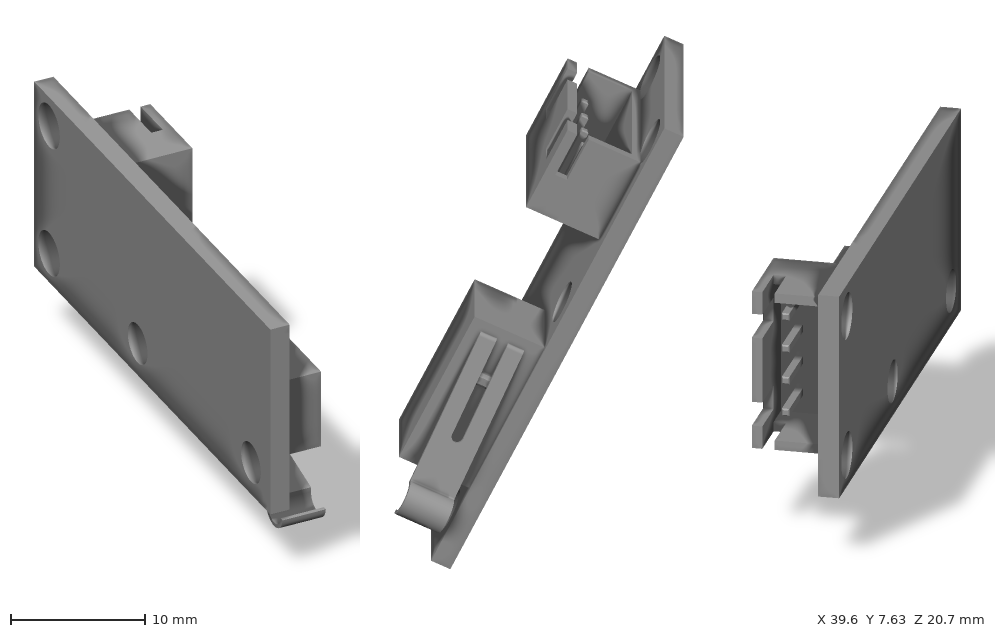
import cadquery as cq
import math

BOARD_LENGTH = 39.6
BOARD_HEIGHT = 16.1
BOARD_THICKNESS = 1.6
TOTAL_DEPTH = 7.63

END_HOLE_DIAMETER = 3.6
END_HOLE_X = 2.5
END_HOLE_INSET = 2.5
SWITCH_HOLE_DIAMETER = 3.3
SWITCH_HOLE_X = 17.35
SWITCH_HOLE_PITCH = 19.0
SWITCH_HOLE_Z = 2.75

CONNECTOR_LEFT = 4.06
CONNECTOR_LENGTH = 7.05
CONNECTOR_HEIGHT = 12.5
CONNECTOR_MID_Z = BOARD_HEIGHT / 2
CAVITY_HEIGHT = 11.0
CAVITY_DEPTH = 6.0
CAVITY_FLOOR_Y = BOARD_THICKNESS + 0.7
OUTER_WALL = 0.8
SIDE_SLOT_WIDTH = 0.95
SLOT_DEPTH = 3.7
WALL_SLOT_HEIGHT = 1.9
WALL_SLOT_SPACING = 7.03

PIN_COUNT = 4
PIN_PITCH = 2.54
PIN_SIDE = 0.58
PIN_TIP_CHAMFER = 0.1
PIN_LENGTH = 4.5
PIN_Y = 5.42

SWITCH_LEFT = 20.3
SWITCH_LENGTH = 12.85
SWITCH_BOTTOM = 0.43
SWITCH_HEIGHT = 6.5
SWITCH_BACK_Y = 7.4
PLUNGER_LEFT = 24.05
PLUNGER_LENGTH = 1.05
PLUNGER_WIDTH = 1.4
PLUNGER_BOTTOM = -0.27
PLUNGER_CHAMFER = 0.25

LEVER_THICKNESS = 0.3
LEVER_WIDTH = 3.6
LEVER_MID_Y = 4.68
LEVER_ANGLE = math.radians(15)
LEVER_ROOT_X = 21.17
LEVER_ROOT_Z = 0.16
LEVER_END_X = 33.04
ROOT_EMBED = 0.5
ROOT_BEND_RADIUS = 0.35
END_BEND_RADIUS = 0.15
HOOK_RADIUS = 1.39
HOOK_CENTER_Z = -3.22
HOOK_END_ANGLE = math.radians(-6)
LEVER_SLOT_WIDTH = 0.9
LEVER_SLOT_END_X = 29.2


def box(x_min, x_max, y_min, y_max, z_min, z_max):
    size = (x_max - x_min, y_max - y_min, z_max - z_min)
    return cq.Workplane("XY").box(*size, centered=False).translate((x_min, y_min, z_min))


def make_board():
    board = box(0, BOARD_LENGTH, 0, BOARD_THICKNESS, 0, BOARD_HEIGHT)
    end_holes = [(END_HOLE_X, END_HOLE_INSET), (END_HOLE_X, BOARD_HEIGHT - END_HOLE_INSET)]
    switch_holes = [(SWITCH_HOLE_X + i * SWITCH_HOLE_PITCH, SWITCH_HOLE_Z) for i in range(2)]
    for diameter, centers in ((END_HOLE_DIAMETER, end_holes), (SWITCH_HOLE_DIAMETER, switch_holes)):
        drill = cq.Workplane("XZ").pushPoints(centers).circle(diameter / 2).extrude(-BOARD_THICKNESS)
        board = board.cut(drill)
    return board


def make_connector():
    bottom = CONNECTOR_MID_Z - CONNECTOR_HEIGHT / 2
    top = CONNECTOR_MID_Z + CONNECTOR_HEIGHT / 2
    right = CONNECTOR_LEFT + CONNECTOR_LENGTH
    cavity_top_y = TOTAL_DEPTH - OUTER_WALL
    cavity_end = CONNECTOR_LEFT + CAVITY_DEPTH
    slot_end = CONNECTOR_LEFT + SLOT_DEPTH

    connector = box(CONNECTOR_LEFT, right, BOARD_THICKNESS, TOTAL_DEPTH, bottom, top)
    cavity_bottom = CONNECTOR_MID_Z - CAVITY_HEIGHT / 2
    cavity_top = CONNECTOR_MID_Z + CAVITY_HEIGHT / 2
    connector = connector.cut(
        box(CONNECTOR_LEFT, cavity_end, CAVITY_FLOOR_Y, cavity_top_y, cavity_bottom, cavity_top)
    )
    connector = connector.cut(
        box(CONNECTOR_LEFT, slot_end, cavity_top_y - SIDE_SLOT_WIDTH, cavity_top_y, bottom, top)
    )
    for side in (-1, 1):
        slot_bottom = CONNECTOR_MID_Z + side * WALL_SLOT_SPACING / 2 - WALL_SLOT_HEIGHT / 2
        slot_top = slot_bottom + WALL_SLOT_HEIGHT
        connector = connector.cut(
            box(CONNECTOR_LEFT, slot_end, cavity_top_y, TOTAL_DEPTH, slot_bottom, slot_top)
        )
    half_pin = PIN_SIDE / 2
    for i in range(PIN_COUNT):
        pin_z = CONNECTOR_MID_Z + (i - (PIN_COUNT - 1) / 2) * PIN_PITCH
        pin = box(
            cavity_end - PIN_LENGTH, cavity_end,
            PIN_Y - half_pin, PIN_Y + half_pin,
            pin_z - half_pin, pin_z + half_pin,
        )
        connector = connector.union(pin.faces("<X").chamfer(PIN_TIP_CHAMFER))
    return connector


def make_switch():
    body = box(
        SWITCH_LEFT, SWITCH_LEFT + SWITCH_LENGTH,
        BOARD_THICKNESS, SWITCH_BACK_Y,
        SWITCH_BOTTOM, SWITCH_BOTTOM + SWITCH_HEIGHT,
    )
    plunger = box(
        PLUNGER_LEFT, PLUNGER_LEFT + PLUNGER_LENGTH,
        LEVER_MID_Y - PLUNGER_WIDTH / 2, LEVER_MID_Y + PLUNGER_WIDTH / 2,
        PLUNGER_BOTTOM, SWITCH_BOTTOM,
    )
    plunger = plunger.faces("<Z").edges("|Y").chamfer(PLUNGER_CHAMFER)
    return body.union(plunger)


def lever_underside_z(x):
    return LEVER_ROOT_Z - (x - LEVER_ROOT_X) * math.tan(LEVER_ANGLE)


def make_lever():
    vertical_thickness = LEVER_THICKNESS / math.cos(LEVER_ANGLE)
    root_inner_x = LEVER_ROOT_X + LEVER_THICKNESS
    end_inner_x = LEVER_END_X + LEVER_THICKNESS
    root_top_z = SWITCH_BOTTOM + ROOT_EMBED
    hook_center_x = LEVER_END_X + HOOK_RADIUS
    inner_radius = HOOK_RADIUS - LEVER_THICKNESS

    def hook_point(radius, angle):
        return (hook_center_x + radius * math.cos(angle), HOOK_CENTER_Z + radius * math.sin(angle))

    hook_bottom = -math.pi / 2
    profile = (
        cq.Workplane("XZ", origin=(0, LEVER_MID_Y - LEVER_WIDTH / 2, 0))
        .moveTo(LEVER_ROOT_X, root_top_z)
        .lineTo(LEVER_ROOT_X, LEVER_ROOT_Z)
        .lineTo(LEVER_END_X, lever_underside_z(LEVER_END_X))
        .lineTo(LEVER_END_X, HOOK_CENTER_Z)
        .threePointArc(hook_point(HOOK_RADIUS, hook_bottom), hook_point(HOOK_RADIUS, HOOK_END_ANGLE))
        .lineTo(*hook_point(inner_radius, HOOK_END_ANGLE))
        .threePointArc(hook_point(inner_radius, hook_bottom), (end_inner_x, HOOK_CENTER_Z))
        .lineTo(end_inner_x, lever_underside_z(end_inner_x) + vertical_thickness)
        .lineTo(root_inner_x, lever_underside_z(root_inner_x) + vertical_thickness)
        .lineTo(root_inner_x, root_top_z)
        .close()
    )
    lever = profile.extrude(-LEVER_WIDTH)
    root_corner = (LEVER_ROOT_X, LEVER_MID_Y, LEVER_ROOT_Z)
    end_corner = (LEVER_END_X, LEVER_MID_Y, lever_underside_z(LEVER_END_X))
    for corner, radius in ((root_corner, ROOT_BEND_RADIUS), (end_corner, END_BEND_RADIUS)):
        lever = lever.edges(cq.NearestToPointSelector(corner)).fillet(radius)

    slot_plane = cq.Plane(
        origin=(LEVER_SLOT_END_X, LEVER_MID_Y, lever_underside_z(LEVER_SLOT_END_X)),
        xDir=(math.cos(LEVER_ANGLE), 0, -math.sin(LEVER_ANGLE)),
        normal=(math.sin(LEVER_ANGLE), 0, math.cos(LEVER_ANGLE)),
    )
    half_slot = LEVER_SLOT_WIDTH / 2
    slot_start = (LEVER_ROOT_X - LEVER_SLOT_END_X) / math.cos(LEVER_ANGLE) - LEVER_THICKNESS
    slot = (
        cq.Workplane(slot_plane)
        .moveTo(slot_start, -half_slot)
        .lineTo(-half_slot, -half_slot)
        .threePointArc((0, 0), (-half_slot, half_slot))
        .lineTo(slot_start, half_slot)
        .close()
        .extrude(LEVER_THICKNESS + ROOT_EMBED, both=True)
    )
    return lever.cut(slot)


result = make_board().union(make_connector()).union(make_switch()).union(make_lever())